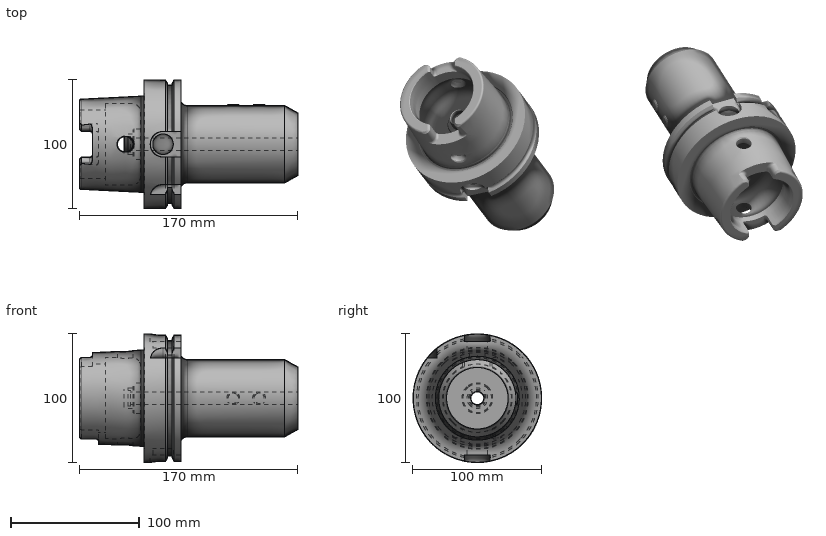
import cadquery as cq
import math

total_length = 170.0
flange_start = 50.0
flange_width = 29.0
flange_end = flange_start + flange_width

seam_angle = -30.0

taper_front_radius = 35.1
taper_end = 47.5
taper_end_radius = 37.4
collar_start = 48.3
collar_radius = 37.65
shank_nose_radius = 1.5
face_relief_radius = 39.6
face_relief_depth = 0.5

flange_radius = 50.0
groove_center = flange_start + 20.2
groove_floor_width = 3.5
groove_mouth_width = 6.8
groove_floor_radius = 45.98
groove_flank_height = 2.7

neck_radius = 30.0
neck_fillet_radius = 6.0
neck_fillet_length = 5.0
nose_cone_length = 10.5
nose_cone_angle = 30.0
nose_chamfer = 0.5

bore_radius = 26.5
bore_mouth_chamfer = 0.5
bore_lip_end = 20.0
recess_radius = 31.54
recess_floor = 47.6
recess_fillet = 6.72

nut_radius = 11.98
nut_chamfer = 0.8
nut_face = 41.6
tube_radius = 8.0
tube_cone_end = 37.7
tube_tip_radius = 6.8
tube_face = 34.7
tube_mouth_radius = 6.04
tube_mouth_depth = 5.1
coolant_radius = 5.02

drive_half_width = 10.0
drive_shoulder_height = 31.8
drive_corner_radius = 4.0
drive_floor_fillet = 2.0
drive_chamfer = 1.5
drive_depth_top = 10.0
drive_depth_bottom = 15.0

access_hole_center = 35.5
access_hole_diameter = 12.0
access_chamfer = 0.7

key_width = 19.9
key_center = flange_start + 15.0
key_floor_height = 44.2
key_hole_diameter = 16.0
key_hole_depth = 5.1
notch_corner = 31.3

screw_positions = (119.5, 139.5)
screw_diameter = 10.0
screw_tip_diameter = 8.0
screw_protrusion = 1.0
screw_root_depth = 1.7


def revolve_about_x(sketch):
    """Turned solid; its seam line is moved clear of the features on the Y and Z sides."""
    turned = sketch.close().revolve(360, (0, 0, 0), (1, 0, 0))
    return turned.rotate((0, 0, 0), (1, 0, 0), seam_angle)


def outer_body():
    groove_floor_half = groove_floor_width / 2
    groove_mouth_half = groove_mouth_width / 2
    flank_radius = flange_radius - groove_flank_height
    fillet_start_radius = (neck_radius + neck_fillet_radius
                           - math.sqrt(neck_fillet_radius**2 - neck_fillet_length**2))
    nose_radius = neck_radius - nose_cone_length * math.tan(math.radians(nose_cone_angle))
    cos_45 = math.cos(math.radians(45))
    nose_mid = (shank_nose_radius * (1 - cos_45), taper_front_radius - shank_nose_radius * (1 - cos_45))
    profile = (
        cq.Workplane("XY")
        .lineTo(0, taper_front_radius - shank_nose_radius)
        .threePointArc(nose_mid, (shank_nose_radius, taper_front_radius))
        .lineTo(taper_end, taper_end_radius)
        .lineTo(collar_start, collar_radius)
        .lineTo(flange_start + face_relief_depth, collar_radius)
        .lineTo(flange_start + face_relief_depth, face_relief_radius - face_relief_depth)
        .lineTo(flange_start, face_relief_radius)
        .lineTo(flange_start, flange_radius)
        .lineTo(groove_center - groove_mouth_half, flange_radius)
        .lineTo(groove_center - groove_floor_half, flank_radius)
        .lineTo(groove_center - groove_floor_half, groove_floor_radius)
        .lineTo(groove_center + groove_floor_half, groove_floor_radius)
        .lineTo(groove_center + groove_floor_half, flank_radius)
        .lineTo(groove_center + groove_mouth_half, flange_radius)
        .lineTo(flange_end, flange_radius)
        .lineTo(flange_end, fillet_start_radius)
        .radiusArc((flange_end + neck_fillet_length, neck_radius), -neck_fillet_radius)
        .lineTo(total_length - nose_cone_length, neck_radius)
        .lineTo(total_length - nose_chamfer, nose_radius + nose_chamfer)
        .lineTo(total_length, nose_radius)
        .lineTo(total_length, 0)
    )
    return revolve_about_x(profile)


def clamping_bore():
    """Bore space around the coolant tube with its nut."""
    fillet_start = recess_floor - recess_fillet
    return revolve_about_x(
        cq.Workplane("XY")
        .lineTo(0, bore_radius + bore_mouth_chamfer)
        .lineTo(bore_mouth_chamfer, bore_radius)
        .lineTo(bore_lip_end, bore_radius)
        .lineTo(bore_lip_end, recess_radius)
        .lineTo(fillet_start, recess_radius)
        .radiusArc((recess_floor, recess_radius - recess_fillet), recess_fillet)
        .lineTo(recess_floor, nut_radius)
        .lineTo(nut_face + nut_chamfer, nut_radius)
        .lineTo(nut_face, nut_radius - nut_chamfer)
        .lineTo(nut_face, tube_radius)
        .lineTo(tube_cone_end, tube_radius)
        .lineTo(tube_face, tube_tip_radius)
        .lineTo(tube_face, 0)
    )


def coolant_passage():
    mouth_end = tube_face + tube_mouth_depth
    return revolve_about_x(
        cq.Workplane("XY")
        .moveTo(tube_face, 0)
        .lineTo(tube_face, tube_mouth_radius)
        .lineTo(mouth_end, tube_mouth_radius)
        .lineTo(mouth_end, coolant_radius)
        .lineTo(total_length, coolant_radius)
        .lineTo(total_length, 0)
    )


def drive_outline(plane, growth):
    """Flared slot cross-section, grown outwards by the given amount."""
    half_width = drive_half_width + growth
    shoulder = drive_shoulder_height - growth
    corner = drive_corner_radius - growth
    base = bore_radius - 8.5
    reach = flange_radius
    return (
        plane.moveTo(-half_width, base)
        .lineTo(half_width, base)
        .lineTo(half_width, shoulder - corner)
        .radiusArc((half_width + corner, shoulder), corner)
        .lineTo(reach, shoulder)
        .lineTo(reach, reach)
        .lineTo(-reach, reach)
        .lineTo(-reach, shoulder)
        .lineTo(-half_width - corner, shoulder)
        .radiusArc((-half_width, shoulder - corner), corner)
        .close()
    )


def drive_slot(depth):
    slot = drive_outline(cq.Workplane("YZ"), 0).extrude(depth)
    slot = slot.faces(">X").edges().fillet(drive_floor_fillet)
    flare = drive_outline(cq.Workplane("YZ"), drive_chamfer)
    flare = drive_outline(flare.workplane(offset=drive_chamfer), 0).loft(ruled=True)
    return slot.union(flare)


def access_hole():
    """Hole from the shank surface through the wall into the recess."""
    radius = access_hole_diameter / 2
    surface = taper_front_radius + (taper_end_radius - taper_front_radius) * access_hole_center / taper_end
    drill = (
        cq.Workplane("XY", origin=(access_hole_center, 0, bore_radius))
        .circle(radius)
        .extrude(surface - bore_radius)
    )
    countersink = cq.Solid.makeCone(
        radius,
        radius + 2 * access_chamfer,
        2 * access_chamfer,
        cq.Vector(access_hole_center, 0, surface - access_chamfer),
        cq.Vector(0, 0, 1),
    )
    return drill.union(cq.Workplane(countersink))


def round_ended_slot(center_y, floor_height):
    """Slot milled along Z, round at the front and open at the back of the flange."""
    height = flange_radius - floor_height
    straight = flange_end - key_center
    plane = cq.Workplane("XY", origin=(key_center, center_y, floor_height))
    return plane.circle(key_width / 2).extrude(height).union(
        plane.center(straight / 2, 0).rect(straight, key_width).extrude(height)
    )


def key_slot():
    hole = (
        cq.Workplane("XY", origin=(key_center, 0, key_floor_height - key_hole_depth))
        .circle(key_hole_diameter / 2)
        .extrude(key_hole_depth)
    )
    return round_ended_slot(0, key_floor_height).union(hole)


def screw_tip(position):
    root = neck_radius - screw_root_depth
    shank = (
        cq.Workplane("XZ", origin=(position, root, 0))
        .circle(screw_diameter / 2)
        .extrude(-screw_root_depth - screw_protrusion)
    )
    return shank.faces(">Y").chamfer((screw_diameter - screw_tip_diameter) / 2 - 0.02)


def turned_over(cutter):
    return cutter.rotate((0, 0, 0), (1, 0, 0), 180)


body = outer_body()
for screw_position in screw_positions:
    body = body.union(screw_tip(screw_position))
body = body.cut(clamping_bore()).cut(coolant_passage())
body = body.cut(drive_slot(drive_depth_top)).cut(turned_over(drive_slot(drive_depth_bottom)))
for cutter in (access_hole(), key_slot()):
    body = body.cut(cutter).cut(turned_over(cutter))
body = body.cut(round_ended_slot(-notch_corner - key_width / 2, notch_corner))

result = body